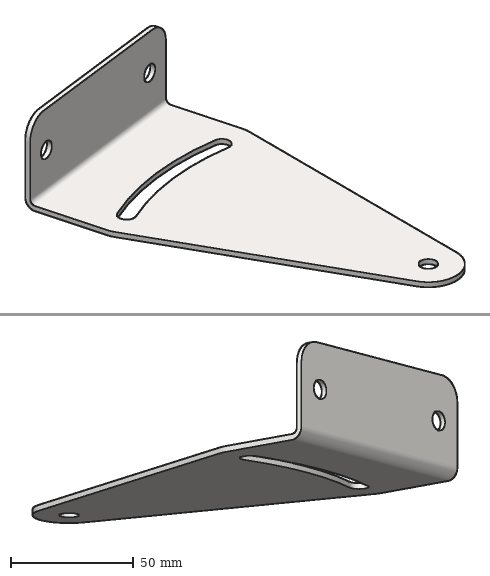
import math

import cadquery as cq

thickness = 2.5
length = 180.0
width = 100.0
flange_height = 42.0
bend_inner_radius = 2.5
bend_outer_radius = bend_inner_radius + thickness

plate_corner_radius = 15.0
pivot_x = length - plate_corner_radius
hole_diameter = 8.0

shoulder_x = 40.0
shoulder_y = width / 2 - plate_corner_radius
shoulder_reach = pivot_x - shoulder_x
taper_angle = math.atan2(shoulder_y, shoulder_reach)

slot_radius = math.hypot(shoulder_reach, shoulder_y)
slot_width = 8.0

flange_corner_radius = 10.0
flange_hole_spacing = 76.0
flange_hole_height = 22.5


def bent_sheet():
    """L-shaped sheet of full width, with a rounded bend."""
    return (
        cq.Workplane("XZ")
        .moveTo(bend_outer_radius, 0)
        .lineTo(length, 0)
        .lineTo(length, thickness)
        .lineTo(bend_outer_radius, thickness)
        .radiusArc((thickness, bend_outer_radius), bend_inner_radius)
        .lineTo(thickness, flange_height)
        .lineTo(0, flange_height)
        .lineTo(0, bend_outer_radius)
        .radiusArc((bend_outer_radius, 0), -bend_outer_radius)
        .close()
        .extrude(width / 2, both=True)
    )


def plate_outline():
    """Tapered plan shape, tall enough to trim the whole bent sheet."""
    half_width = width / 2
    offset_x = plate_corner_radius * math.sin(taper_angle)
    offset_y = plate_corner_radius * math.cos(taper_angle)
    taper_start = (shoulder_x + offset_x, shoulder_y + offset_y)
    taper_end = (pivot_x + offset_x, offset_y)
    return (
        cq.Workplane("XY")
        .moveTo(0, -half_width)
        .lineTo(shoulder_x, -half_width)
        .radiusArc((taper_start[0], -taper_start[1]), -plate_corner_radius)
        .lineTo(taper_end[0], -taper_end[1])
        .threePointArc((length, 0), taper_end)
        .lineTo(*taper_start)
        .radiusArc((shoulder_x, half_width), -plate_corner_radius)
        .lineTo(0, half_width)
        .close()
        .extrude(flange_height)
    )


def pivot_hole():
    """Through hole at the narrow end of the plate."""
    return cq.Workplane("XY").center(pivot_x, 0).circle(hole_diameter / 2).extrude(thickness)


def curved_slot():
    """Round-ended slot that follows an arc about the pivot hole."""

    def polar(radius, angle):
        """Point at the given angle from the -X direction, relative to the pivot."""
        return (-radius * math.cos(angle), radius * math.sin(angle))

    end_radius = slot_width / 2
    inner = slot_radius - end_radius
    outer = slot_radius + end_radius
    return (
        cq.Workplane("XY")
        .center(pivot_x, 0)
        .moveTo(*polar(outer, -taper_angle))
        .threePointArc((-outer, 0), polar(outer, taper_angle))
        .radiusArc(polar(inner, taper_angle), end_radius)
        .threePointArc((-inner, 0), polar(inner, -taper_angle))
        .radiusArc(polar(outer, -taper_angle), end_radius)
        .close()
        .extrude(thickness)
    )


def flange_holes():
    """Pair of mounting holes through the upright flange."""
    return (
        cq.Workplane("YZ")
        .pushPoints([(side * flange_hole_spacing / 2, flange_hole_height) for side in (-1, 1)])
        .circle(hole_diameter / 2)
        .extrude(thickness)
    )


bracket = bent_sheet().intersect(plate_outline())
bracket = bracket.faces(">Z").edges("|X").fillet(flange_corner_radius)
result = bracket.cut(pivot_hole()).cut(curved_slot()).cut(flange_holes())